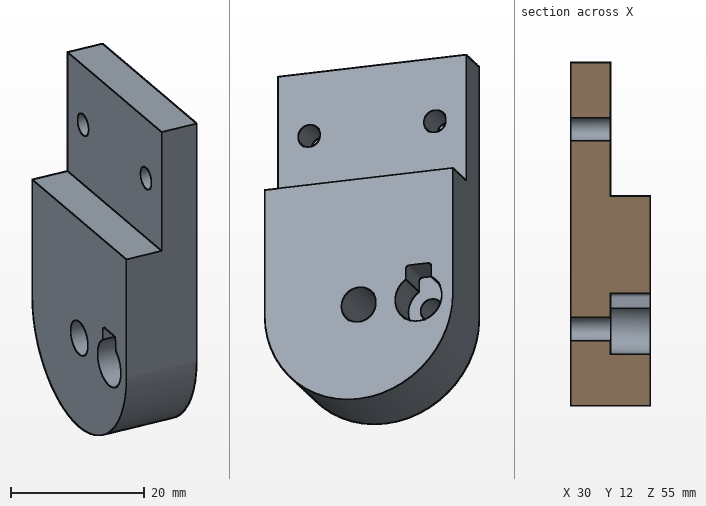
import cadquery as cq

height = 55.0
width = 30.0
thickness = 12.0
end_radius = width / 2

tab_height = 20.0
tab_thickness = thickness / 2
tab_hole_diameter = 3.5
tab_hole_spacing = 20.0
tab_hole_drop = 10.0

pivot_diameter = 5.5

pocket_offset = 9.5
pocket_diameter = 7.4
pocket_depth = tab_thickness
pocket_hole_diameter = 3.5
key_width = 4.0
key_reach = 5.35
key_corner_radius = 0.55

top_z = height - end_radius


def y_cylinder(x, z, diameter, depth):
    """Cylinder running from the front face toward the back."""
    return cq.Workplane("XZ", origin=(x, 0, z)).circle(diameter / 2).extrude(-depth)


def make_body():
    """Round-ended block with its upper front cut back to leave the tab."""
    block = (
        cq.Workplane("XZ")
        .moveTo(-end_radius, 0)
        .threePointArc((0, -end_radius), (end_radius, 0))
        .lineTo(end_radius, top_z)
        .lineTo(-end_radius, top_z)
        .close()
        .extrude(-thickness)
    )
    step = cq.Workplane("XY").box(
        width, thickness - tab_thickness, tab_height, centered=(True, False, False)
    ).translate((0, 0, top_z - tab_height))
    return block.cut(step)


def make_keyed_pocket():
    """Round pocket with a key slot pointing up, rounded at its outer corners."""
    key = (
        cq.Workplane("XY")
        .box(key_width, pocket_depth, key_reach, centered=(True, False, False))
        .edges("|Y and >Z")
        .fillet(key_corner_radius)
        .translate((pocket_offset, 0, 0))
    )
    return y_cylinder(pocket_offset, 0, pocket_diameter, pocket_depth).union(key)


result = make_body()
for side in (-1, 1):
    tab_hole_x = side * tab_hole_spacing / 2
    result = result.cut(y_cylinder(tab_hole_x, top_z - tab_hole_drop, tab_hole_diameter, thickness))
result = result.cut(y_cylinder(0, 0, pivot_diameter, thickness))
result = result.cut(make_keyed_pocket())
result = result.cut(y_cylinder(pocket_offset, 0, pocket_hole_diameter, thickness))